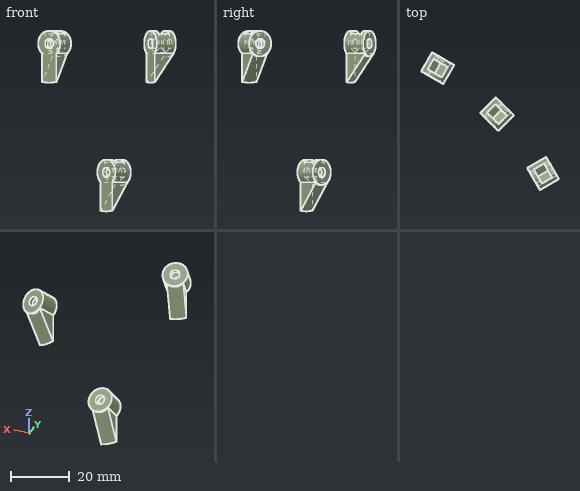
import cadquery as cq
import math

total_height = 61.7
total_width = 47.05

barrel_diameter = 8.75
barrel_length = 7.5
leg_width = 5.7
foot_radius = 13.4
hole_diameter = 3.25

pocket_width = 5.55
pocket_length = 4.1
pocket_shoulder_depth = 1.5
pocket_valley_depth = 3.0

outer_turn = 30.0
middle_turn = 45.0
middle_offset = 2.4

barrel_radius = barrel_diameter / 2
half_length = barrel_length / 2


def make_leg():
    """Leg that is full depth below the barrel and tapers to an edge at the foot."""
    half_width = leg_width / 2
    shoulder_drop = math.sqrt(barrel_radius**2 - half_width**2)
    wedge = (
        cq.Workplane("YZ")
        .moveTo(-half_length, 0)
        .lineTo(half_length, 0)
        .lineTo(half_length, -shoulder_drop)
        .lineTo(-half_length, -foot_radius)
        .close()
        .extrude(half_width, both=True)
    )
    foot_cylinder = cq.Workplane("XZ").circle(foot_radius).extrude(half_length, both=True)
    return wedge.intersect(foot_cylinder)


def make_pocket():
    """Cutter for the top pocket and its V-shaped floor."""
    half_width = pocket_width / 2
    return (
        cq.Workplane("XZ")
        .moveTo(-half_width, barrel_radius)
        .lineTo(-half_width, -pocket_shoulder_depth)
        .lineTo(0, -pocket_valley_depth)
        .lineTo(half_width, -pocket_shoulder_depth)
        .lineTo(half_width, barrel_radius)
        .close()
        .extrude(pocket_length / 2, both=True)
    )


def make_cross_hole():
    """Cutter for the hole along the barrel axis, through both end walls."""
    return (
        cq.Workplane("XZ")
        .circle(hole_diameter / 2)
        .extrude(half_length, both=True)
    )


def make_bracket():
    """Bracket centred on its barrel, front face toward -Y."""
    barrel = cq.Workplane("XZ").circle(barrel_radius).extrude(half_length, both=True)
    return barrel.union(make_leg()).cut(make_pocket()).cut(make_cross_hole())


turn = math.radians(outer_turn)
half_span_along = (barrel_diameter * math.cos(turn) + barrel_length * math.sin(turn)) / 2
half_span_across = (barrel_diameter * math.sin(turn) + barrel_length * math.cos(turn)) / 2
near_offset = total_width / 2 - half_span_along
far_offset = total_width / 2 - half_span_across
upper_height = total_height / 2 - barrel_radius
lower_height = foot_radius - total_height / 2

placements = [
    (outer_turn, (-near_offset, far_offset, upper_height)),
    (middle_turn, (middle_offset, middle_offset, lower_height)),
    (90 - outer_turn, (far_offset, -near_offset, upper_height)),
]

brackets = []
for turn_angle, centre in placements:
    bracket = make_bracket().rotate((0, 0, 0), (0, 0, 1), -turn_angle).translate(centre)
    brackets.append(bracket.val())

result = cq.Compound.makeCompound(brackets)